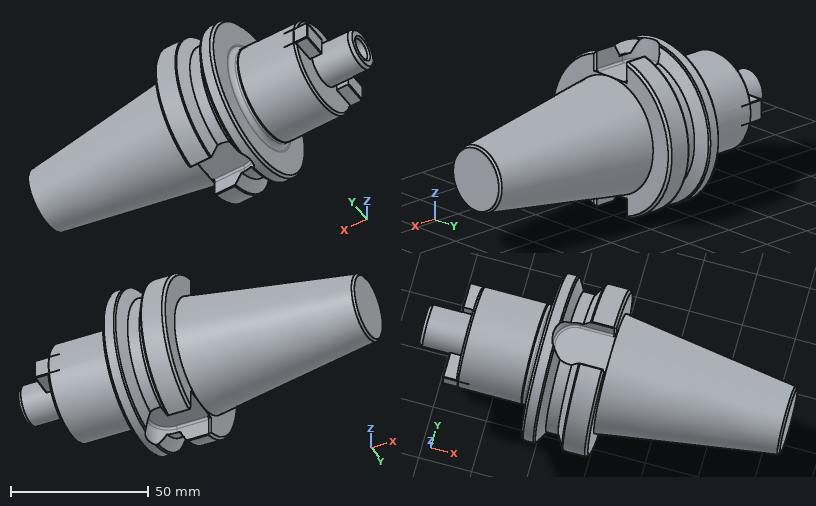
import cadquery as cq
import math

LENGTH = 137.4

PILOT_RADIUS = 16.0 / 2
PILOT_CHAMFER_LENGTH = 1.4
PILOT_CHAMFER_DEPTH = 0.8
BORE_RADIUS = 8.5 / 2
BORE_CHAMFER_RADIUS = 10.0 / 2
BORE_DEPTH = 4.0

BODY_START = 17.0
BODY_RADIUS = 38.0 / 2
BODY_CHAMFER = 0.8
UNDERCUT_RADIUS = 37.8 / 2
UNDERCUT_RAMP = 0.4
UNDERCUT_NECK = 1.1
UNDERCUT_FILLET = 1.9
UNDERCUT_FACE_DEPTH = 0.1
UNDERCUT_FACE_RAMP = 0.5

FLANGE_START = 44.9
FLANGE_END = 70.1
FLANGE_RADIUS = 63.0 / 2
FLANGE_CHAMFER = 1.0
GROOVE_CENTER = 55.4
GROOVE_FLOOR_WIDTH = 4.7
GROOVE_RADIUS = 26.5
GROOVE_FLANK_ANGLE = 30.0
FRONT_LIP_BEVEL = 0.4
REAR_LIP_BEVEL = 0.3

GAUGE_X = 72.0
GAUGE_RADIUS = 44.7 / 2
TAPER_SLOPE = 7 / 48
TAPER_CHAMFER = 0.8

KEY_START = 12.0
KEY_END = 21.8
KEY_WIDTH = 8.0
KEY_INNER = 8.9
KEY_OUTER = 18.7
KEY_CHAMFER = 0.3

KEYWAY_WIDTH = 16.1
KEYWAY_START = 48.5
KEYWAY_FLOOR = 22.5
KEYWAY_FILLET = 0.8
KEYWAY_RIM_CHAMFER = 0.35
KEYWAY_REAR_CHAMFER = 0.7


def taper_radius(x):
    return GAUGE_RADIUS - (x - GAUGE_X) * TAPER_SLOPE


def revolved_blank():
    """Turned body from nose to shank, including the undercut and the gripper groove."""
    recess_x = FLANGE_START + UNDERCUT_FACE_DEPTH
    arc_start_x = recess_x - UNDERCUT_FILLET
    arc_end_r = UNDERCUT_RADIUS + UNDERCUT_FILLET
    arc_offset = UNDERCUT_FILLET * math.sqrt(0.5)
    neck_x = arc_start_x - UNDERCUT_NECK
    flank_run = math.tan(math.radians(GROOVE_FLANK_ANGLE))
    flank_length = (FLANGE_RADIUS - GROOVE_RADIUS) * flank_run
    floor_start = GROOVE_CENTER - GROOVE_FLOOR_WIDTH / 2
    floor_end = GROOVE_CENTER + GROOVE_FLOOR_WIDTH / 2
    front_lip = floor_start - flank_length
    rear_lip = floor_end + flank_length
    taper_edge = LENGTH - TAPER_CHAMFER
    profile = (
        cq.Workplane("XY")
        .moveTo(0, 0)
        .lineTo(0, PILOT_RADIUS - PILOT_CHAMFER_DEPTH)
        .lineTo(PILOT_CHAMFER_LENGTH, PILOT_RADIUS)
        .lineTo(BODY_START, PILOT_RADIUS)
        .lineTo(BODY_START, BODY_RADIUS - BODY_CHAMFER)
        .lineTo(BODY_START + BODY_CHAMFER, BODY_RADIUS)
        .lineTo(neck_x - UNDERCUT_RAMP, BODY_RADIUS)
        .lineTo(neck_x, UNDERCUT_RADIUS)
        .lineTo(arc_start_x, UNDERCUT_RADIUS)
        .threePointArc((arc_start_x + arc_offset, arc_end_r - arc_offset), (recess_x, arc_end_r))
        .lineTo(FLANGE_START, arc_end_r + UNDERCUT_FACE_RAMP)
        .lineTo(FLANGE_START, FLANGE_RADIUS - FLANGE_CHAMFER)
        .lineTo(FLANGE_START + FLANGE_CHAMFER, FLANGE_RADIUS)
        .lineTo(front_lip - FRONT_LIP_BEVEL, FLANGE_RADIUS)
        .lineTo(front_lip + FRONT_LIP_BEVEL * flank_run, FLANGE_RADIUS - FRONT_LIP_BEVEL)
        .lineTo(floor_start, GROOVE_RADIUS)
        .lineTo(floor_end, GROOVE_RADIUS)
        .lineTo(rear_lip - REAR_LIP_BEVEL * flank_run, FLANGE_RADIUS - REAR_LIP_BEVEL)
        .lineTo(rear_lip + REAR_LIP_BEVEL, FLANGE_RADIUS)
        .lineTo(FLANGE_END - FLANGE_CHAMFER, FLANGE_RADIUS)
        .lineTo(FLANGE_END, FLANGE_RADIUS - FLANGE_CHAMFER)
        .lineTo(FLANGE_END, taper_radius(FLANGE_END))
        .lineTo(taper_edge, taper_radius(taper_edge))
        .lineTo(LENGTH, taper_radius(taper_edge) - TAPER_CHAMFER)
        .lineTo(LENGTH, 0)
        .close()
    )
    return profile.revolve(360, (0, 0, 0), (1, 0, 0))


def pilot_bore():
    """Blind, flat-bottomed bore with a chamfered mouth."""
    chamfer = BORE_CHAMFER_RADIUS - BORE_RADIUS
    profile = (
        cq.Workplane("XY")
        .moveTo(0, 0)
        .lineTo(0, BORE_CHAMFER_RADIUS)
        .lineTo(chamfer, BORE_RADIUS)
        .lineTo(BORE_DEPTH, BORE_RADIUS)
        .lineTo(BORE_DEPTH, 0)
        .close()
    )
    return profile.revolve(360, (0, 0, 0), (1, 0, 0))


def drive_key(side):
    """Flat-sided key on the +Y (side = 1) or -Y (side = -1) side of the pilot."""
    key_size = (KEY_END - KEY_START, KEY_OUTER - KEY_INNER, KEY_WIDTH)
    center = ((KEY_START + KEY_END) / 2, side * (KEY_INNER + KEY_OUTER) / 2, 0)
    key = cq.Workplane("XY").box(*key_size)
    outer_face = ">Y" if side > 0 else "<Y"
    front_edges = key.faces("<X").edges("|Y")
    outer_edges = key.faces(outer_face).edges("not >X")
    key = key.newObject(front_edges.vals() + outer_edges.vals()).chamfer(KEY_CHAMFER)
    return key.translate(center)


def keyway_rim_flare():
    """Wedge that bevels the keyway walls where they meet the rear collar's outside."""
    half_width = KEYWAY_WIDTH / 2
    rim_z = math.sqrt(FLANGE_RADIUS**2 - half_width**2)
    bevel_z = rim_z - KEYWAY_RIM_CHAMFER
    rise = FLANGE_RADIUS - bevel_z
    outline = [
        (-half_width, bevel_z),
        (half_width, bevel_z),
        (half_width + rise, FLANGE_RADIUS),
        (-half_width - rise, FLANGE_RADIUS),
    ]
    section = cq.Workplane("YZ", origin=(GROOVE_CENTER, 0, 0)).polyline(outline).close()
    return section.extrude(FLANGE_END - GROOVE_CENTER)


def keyway_rear_flare():
    """Wedge that bevels the keyway walls where they meet the rear face."""
    half_width = KEYWAY_WIDTH / 2
    flared_half_width = half_width + KEYWAY_REAR_CHAMFER
    bevel_x = FLANGE_END - KEYWAY_REAR_CHAMFER
    outline = [
        (bevel_x, -half_width),
        (FLANGE_END, -flared_half_width),
        (FLANGE_END, flared_half_width),
        (bevel_x, half_width),
    ]
    section = cq.Workplane("XY", origin=(0, 0, KEYWAY_FLOOR)).polyline(outline).close()
    return section.extrude(FLANGE_RADIUS - KEYWAY_FLOOR)


def upper_keyway():
    """Round-ended slot, open to the rear, with a fillet around its floor."""
    end_radius = KEYWAY_WIDTH / 2
    center_x = KEYWAY_START + end_radius
    slot = (
        cq.Workplane("XY", origin=(0, 0, KEYWAY_FLOOR))
        .moveTo(FLANGE_END, -end_radius)
        .lineTo(center_x, -end_radius)
        .threePointArc((KEYWAY_START, 0), (center_x, end_radius))
        .lineTo(FLANGE_END, end_radius)
        .close()
        .extrude(FLANGE_RADIUS - KEYWAY_FLOOR)
    )
    slot = slot.edges("<Z").edges("not >X").fillet(KEYWAY_FILLET)
    return slot.union(keyway_rim_flare()).union(keyway_rear_flare())


result = revolved_blank().cut(pilot_bore())
for side in (-1, 1):
    result = result.union(drive_key(side))
keyway = upper_keyway()
result = result.cut(keyway).cut(keyway.mirror("XY"))